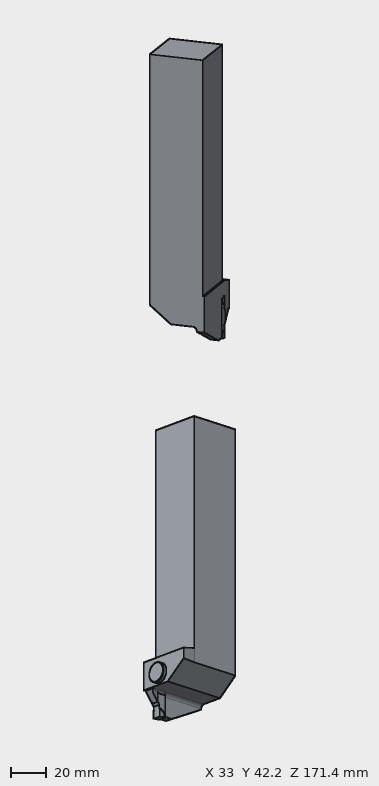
import cadquery as cq


total_height = 171.4
shank_size = 31.5

head_right = 32.5
head_top = 33.4
head_back = 39.8
flare = 0.3
shoulder_drop = 1.9
head_bottom = 14.9
chamfer_start_z = 25.2
chamfer_end_x = 12.7
root_radius = 2.0

blade_left = 28.0
blade_tip_z = 1.0
blade_front_z = 12.3
blade_tip_y = 22.6
jaw_start_y = 38.2

insert_left = 27.8
insert_right = head_right
insert_back = 33.2
insert_front = 27.6
insert_length = 24.3
rake_y = 32.0
rake_length = 7.0
tip_overhang = 0.2
tip_height = 5.0
tip_root_y = 28.1
tip_root_z = 0.7
tip_arc_mid = (29.3, 3.6)
end_relief = 0.5

screw_diameter = 11.8
screw_x = 19.7
screw_z = 21.8
screw_height = 2.4
screw_edge = 0.3


def extrude_along_x(profile, x_min, x_max):
    """Extrude a closed YZ profile between two X positions."""
    return profile.extrude(x_max - x_min).translate((x_min, 0, 0))


def make_head():
    """Intersection of the head's side, front and plan outlines."""
    side = extrude_along_x(
        cq.Workplane("YZ").polyline([
            (0, head_top),
            (shank_size, head_top),
            (head_back, head_top - shoulder_drop),
            (head_back, head_bottom),
            (jaw_start_y, head_bottom),
            (rake_y, rake_length),
            (insert_front, blade_tip_z),
            (blade_tip_y, blade_tip_z),
            (0, blade_front_z),
        ]).close(),
        -flare, head_right,
    )
    front = (
        cq.Workplane("XZ")
        .moveTo(-flare, head_top)
        .lineTo(-flare, chamfer_start_z)
        .lineTo(chamfer_end_x, head_bottom)
        .lineTo(blade_left - root_radius, head_bottom)
        .radiusArc((blade_left, head_bottom - root_radius), root_radius)
        .lineTo(blade_left, 0)
        .lineTo(head_right, 0)
        .lineTo(head_right, head_top)
        .close()
        .extrude(-head_back)
    )
    plan = (
        cq.Workplane("XY")
        .lineTo(0, shank_size)
        .lineTo(-flare, head_back)
        .lineTo(head_right, head_back)
        .lineTo(head_right, 0)
        .close()
        .extrude(head_top)
    )
    return side.intersect(front).intersect(plan)


def make_screw_head():
    """Round screw head standing on the back face of the head."""
    return (
        cq.Workplane("XZ", origin=(screw_x, head_back, screw_z))
        .circle(screw_diameter / 2)
        .extrude(-screw_height)
        .faces(">Y")
        .edges()
        .chamfer(screw_edge)
    )


def make_cutting_tip():
    """Lower cutting tip, slightly wider than the insert's body."""
    profile = (
        cq.Workplane("YZ")
        .moveTo(rake_y, 0)
        .lineTo(rake_y, tip_height)
        .threePointArc(tip_arc_mid, (tip_root_y, tip_root_z))
        .close()
    )
    return extrude_along_x(profile, insert_left - tip_overhang, insert_right + tip_overhang)


def make_insert():
    """Bar with the same cutting end at its bottom and its top."""
    jaw_slope = (head_bottom - rake_length) / (jaw_start_y - rake_y)
    back_start_z = rake_length + (insert_back - rake_y) * jaw_slope
    body = extrude_along_x(
        cq.Workplane("YZ").polyline([
            (insert_front, end_relief),
            (rake_y, 0),
            (rake_y, rake_length),
            (insert_back, back_start_z),
            (insert_back, insert_length - back_start_z),
            (rake_y, insert_length - rake_length),
            (rake_y, insert_length),
            (insert_front, insert_length - end_relief),
        ]).close(),
        insert_left, insert_right,
    )
    tip = make_cutting_tip()
    upper_tip = tip.mirror("XY", (0, 0, insert_length / 2))
    return body.union(tip).union(upper_tip)


insert = make_insert()

shank = cq.Workplane("XY", origin=(0, 0, head_top)).box(
    shank_size, shank_size, total_height - head_top, centered=False
)
holder = shank.union(make_head()).union(make_screw_head()).cut(insert)

result = cq.Compound.makeCompound([holder.solids().val(), insert.solids().val()])